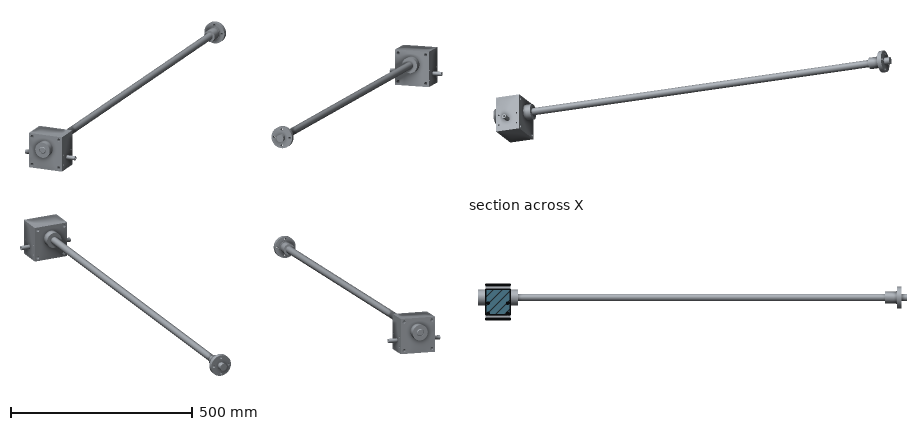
import cadquery as cq

screw_length = 1185.0
screw_diameter = 20.0
screw_chamfer = 1.8

housing_side = 100.0
housing_depth = 70.0
housing_drop = 12.0
hub_diameter = 44.0
hub_length = 20.0
mount_hole_diameter = 9.0
mount_hole_spacing = 80.0
tapped_hole_diameter = 4.1
tapped_hole_depth = 12.0
tapped_hole_spacing_y = 53.0
tapped_hole_spacing_z = 28.0

shaft_diameter = 12.0
shaft_span = 150.0
shaft_drop = 30.0
shaft_bore_diameter = 4.1
shaft_bore_depth = 14.0
shaft_countersink_diameter = 7.0
countersink_angle = 45

screw_overhang = 15.0
flange_diameter = 60.0
flange_thickness = 12.0
flange_hole_diameter = 7.0
flange_hole_circle = 45.0
flange_hole_count = 4
collar_diameter = 35.0
collar_length = 4.0
nut_body_diameter = 32.0
nut_body_length = 30.0

housing_front_y = hub_length
housing_middle_y = housing_front_y + housing_depth / 2
housing_total_length = housing_depth + 2 * hub_length
countersink_depth = (shaft_countersink_diameter - shaft_bore_diameter) / 2
shaft_length = (shaft_span - housing_side) / 2
nut_total_length = nut_body_length + collar_length + flange_thickness
nut_back_y = screw_length - screw_overhang
flange_front_y = nut_back_y - flange_thickness
collar_front_y = flange_front_y - collar_length
nut_front_y = nut_back_y - nut_total_length


def rod(diameter, start_y, length):
    """Cylinder on the screw axis, from start_y toward +Y."""
    return cq.Workplane("XZ", origin=(0, start_y, 0)).circle(diameter / 2).extrude(-length)


def mount_holes():
    """Four holes right through the housing along Y."""
    return (
        cq.Workplane("XZ", origin=(0, housing_front_y, -housing_drop))
        .rect(mount_hole_spacing, mount_hole_spacing, forConstruction=True)
        .vertices()
        .circle(mount_hole_diameter / 2)
        .extrude(-housing_depth)
    )


def tapped_holes(side):
    """Four blind holes around the input shaft; side is -1 for -X and +1 for +X."""
    return (
        cq.Workplane("YZ", origin=(side * housing_side / 2, housing_middle_y, -shaft_drop))
        .rect(tapped_hole_spacing_y, tapped_hole_spacing_z, forConstruction=True)
        .vertices()
        .circle(tapped_hole_diameter / 2)
        .extrude(-side * tapped_hole_depth)
    )


def make_housing():
    """Block with two hubs, bored right through for the screw."""
    block = cq.Workplane("XY").box(housing_side, housing_depth, housing_side)
    block = block.translate((0, housing_middle_y, -housing_drop))
    housing = block.union(rod(hub_diameter, 0, housing_total_length))
    housing = housing.cut(rod(screw_diameter, 0, housing_total_length))
    housing = housing.cut(mount_holes())
    for side in (-1, 1):
        housing = housing.cut(tapped_holes(side))
    return housing


def make_screw():
    """Plain rod, chamfered at its front end."""
    screw = rod(screw_diameter, 0, screw_length)
    return screw.faces("<Y").chamfer(screw_chamfer)


def make_input_shaft(side):
    """Shaft standing on one side face, with a countersunk blind bore in its outer end."""
    outer_end = cq.Workplane("YZ", origin=(side * shaft_span / 2, housing_middle_y, -shaft_drop))
    shaft = outer_end.circle(shaft_diameter / 2).extrude(-side * shaft_length)
    bore = outer_end.circle(shaft_bore_diameter / 2).extrude(-side * shaft_bore_depth)
    countersink = outer_end.circle(shaft_countersink_diameter / 2).extrude(
        -side * countersink_depth, taper=countersink_angle
    )
    return shaft.cut(bore).cut(countersink)


def make_nut():
    """Round body, short collar and flange in line, bored for the screw."""
    nut = rod(nut_body_diameter, nut_front_y, nut_body_length)
    nut = nut.union(rod(collar_diameter, collar_front_y, collar_length))
    nut = nut.union(rod(flange_diameter, flange_front_y, flange_thickness))
    nut = nut.cut(rod(screw_diameter, nut_front_y, nut_total_length))
    flange_holes = (
        cq.Workplane("XZ", origin=(0, flange_front_y, 0))
        .polarArray(flange_hole_circle / 2, 0, 360, flange_hole_count)
        .circle(flange_hole_diameter / 2)
        .extrude(-flange_thickness)
    )
    return nut.cut(flange_holes)


housing = make_housing()
screw = make_screw()
input_shafts = [make_input_shaft(side).val() for side in (-1, 1)]
nut = make_nut()

result = cq.Compound.makeCompound([housing.val(), screw.val(), *input_shafts, nut.val()])